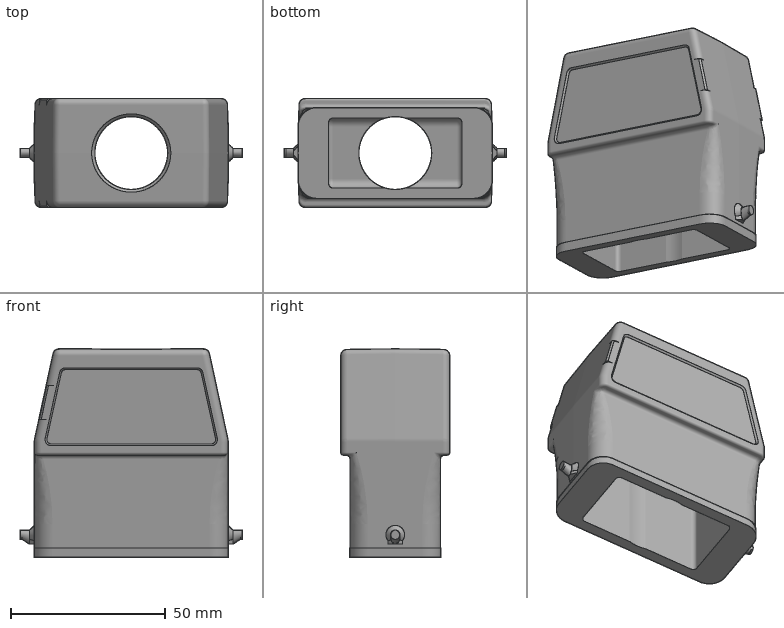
import cadquery as cq
import math

height = 67.5
half_length = 31.4
head_half_width = 17.65
lower_half_width = 14.65
draft = 0.7

ledge_z = 33.0
shoulder_z = 37.9
top_half_length = 25.0
head_round = 2.15
shoulder_round = 4.1
ledge_edge_round = 0.85
ledge_root_round = 1.3

corner_radius = 5.9
corner_radius_at_ledge = 1.95
corner_blend_z = 10.7
skirt_height = 3.1
skirt_overhang = 0.1

square_z_low = 44.5
square_z_high = 55.65
square_chamfer = 0.6

panel_z_low = 36.1
panel_z_high = 61.3
panel_half_low = 28.35
panel_half_high = 22.8
panel_depth = 0.6
panel_round = 2.0
panel_wall_angle = 45.0

entry_diameter = 23.5
entry_chamfer = 1.1
cavity_half_length = 21.55
cavity_half_width = 11.35
cavity_top_z = 63.2
cavity_ceiling_round = 2.9
cavity_corner_round = 1.45

pin_tip_x = 35.9
pin_z = 7.3
pin_radius = 1.5
pin_tip_length = 0.6
collar_tip_x = 32.95
collar_radius = 3.0
rib_bottom_z = 4.3
rib_root_half_width = 2.4
rib_tip_half_width = 0.6

embed = 1.45


def edges_within(body, x=(-half_length, half_length), y=(-head_half_width, head_half_width), z=(0, height)):
    """Edges lying completely inside the given ranges, with a small margin."""
    margin = 0.3
    low = (x[0] - margin, y[0] - margin, z[0] - margin)
    high = (x[1] + margin, y[1] + margin, z[1] + margin)
    return body.edges(cq.selectors.BoxSelector(low, high, boundingbox=True))


def sharp_half_head():
    """The -Y half of the tapered head, with only its shoulders rounded, cut level at the ledge."""
    outline = [
        (-half_length, ledge_z - embed),
        (half_length, ledge_z - embed),
        (half_length, shoulder_z),
        (top_half_length, height),
        (-top_half_length, height),
        (-half_length, shoulder_z),
    ]
    half = cq.Workplane("XZ").polyline(outline).close().extrude(head_half_width, taper=draft)
    above_ledge = cq.Workplane("XY", origin=(0, 0, ledge_z)).box(
        2 * half_length, 2 * head_half_width, height, centered=(True, True, False)
    )
    half = half.intersect(above_ledge)
    return edges_within(half, z=(shoulder_z, shoulder_z)).fillet(shoulder_round)


def rounded_half_head():
    half = sharp_half_head()
    wide_side_rim = half.faces("<Y").edges("not(<Z)")
    top_rim = half.faces(">Z").edges("not(>Y)")
    half = wide_side_rim.add(top_rim).fillet(head_round)
    return half.faces("<Z").edges("<Y").fillet(ledge_edge_round)


def corner_square():
    """Stretch of the slanted -X corner that stays square, with a small chamfer."""
    half = sharp_half_head()
    half = half.faces("<Y").edges("not(<Z)").chamfer(square_chamfer)
    stretch = cq.Workplane("XY", origin=(-half_length, -head_half_width, square_z_low)).box(
        half_length - top_half_length, head_round, square_z_high - square_z_low, centered=False
    )
    return half.intersect(stretch)


def panel_recess():
    """Recess of the -Y side, with sloped walls."""
    outline = [
        (-panel_half_low, panel_z_low),
        (panel_half_low, panel_z_low),
        (panel_half_high, panel_z_high),
        (-panel_half_high, panel_z_high),
        (-panel_half_low, panel_z_low),
    ]
    shape = cq.Sketch().polygon(outline).vertices().fillet(panel_round)
    side = cq.Workplane("XZ", origin=(0, -head_half_width, 0))
    return side.placeSketch(shape).extrude(-panel_depth, taper=panel_wall_angle)


def head():
    half = rounded_half_head().union(corner_square()).cut(panel_recess())
    return half.union(half.mirror("XZ"))


def lower_section(z, radius):
    """Rounded outline at height z whose end faces peak at the parting plane."""
    corner_x = half_length - lower_half_width * math.tan(math.radians(draft))
    points = [
        (half_length, 0),
        (corner_x, lower_half_width),
        (-corner_x, lower_half_width),
        (-half_length, 0),
        (-corner_x, -lower_half_width),
        (corner_x, -lower_half_width),
    ]
    wire = cq.Wire.makePolygon([cq.Vector(x, y, z) for x, y in points], close=True)
    corners = [vertex for vertex in wire.Vertices() if abs(vertex.Y) > lower_half_width / 2]
    return wire.fillet2D(radius, corners)


def lower_body():
    skirt = cq.Workplane("XY").rect(
        2 * (half_length + skirt_overhang), 2 * (lower_half_width + skirt_overhang)
    ).extrude(skirt_height)
    skirt = skirt.edges("|Z").fillet(corner_radius)
    straight = cq.Solid.makeLoft([lower_section(z, corner_radius) for z in (skirt_height, corner_blend_z)])
    sections = []
    for fraction in (0, 0.5, 1):
        z = corner_blend_z + fraction * (ledge_z + embed - corner_blend_z)
        radius = corner_radius - (corner_radius - corner_radius_at_ledge) * fraction**2
        sections.append(lower_section(z, radius))
    tightening = cq.Solid.makeLoft(sections)
    return skirt.union(cq.Workplane(straight)).union(cq.Workplane(tightening))


def outer_body():
    body = head().union(lower_body())
    root_level = (ledge_z, ledge_z)
    near_root = edges_within(body, y=(-lower_half_width, -lower_half_width), z=root_level)
    far_root = edges_within(body, y=(lower_half_width, lower_half_width), z=root_level)
    return near_root.add(far_root).fillet(ledge_root_round)


def locking_pin():
    """Pin at the +X end on a conical collar; its underside slopes up from a rib to the round tip."""
    root_x = half_length - embed

    pin_top_z = pin_z + pin_radius
    pin_root_half_height = (pin_top_z - rib_bottom_z) / 2
    slope_end_x = pin_tip_x - pin_tip_length
    pin = (
        cq.Workplane("YZ", origin=(collar_tip_x, 0, pin_top_z - pin_root_half_height))
        .ellipse(pin_radius, pin_root_half_height)
        .workplane(offset=slope_end_x - collar_tip_x, origin=(0, 0, pin_z))
        .circle(pin_radius)
        .loft()
    )
    tip = cq.Workplane("YZ", origin=(slope_end_x, 0, pin_z)).circle(pin_radius).extrude(pin_tip_length)

    collar_profile = [
        (root_x, 0),
        (root_x, collar_radius),
        (half_length, collar_radius),
        (collar_tip_x, pin_radius),
        (collar_tip_x, 0),
    ]
    collar = cq.Workplane("XZ", origin=(0, 0, pin_z)).polyline(collar_profile).close()
    collar = collar.revolve(360, (0, 0, 0), (1, 0, 0))

    rib_plan = [
        (root_x, -rib_root_half_width),
        (half_length, -rib_root_half_width),
        (collar_tip_x, -rib_tip_half_width),
        (collar_tip_x, rib_tip_half_width),
        (half_length, rib_root_half_width),
        (root_x, rib_root_half_width),
    ]
    rib = cq.Workplane("XY", origin=(0, 0, rib_bottom_z)).polyline(rib_plan).close()
    rib = rib.extrude(pin_z - rib_bottom_z)
    return collar.union(rib).union(pin).union(tip)


def cable_entry():
    """Through bore with a chamfered mouth."""
    radius = entry_diameter / 2
    bore = cq.Workplane("XY").circle(radius).extrude(height)
    mouth = cq.Workplane("XY", origin=(0, 0, height - entry_chamfer)).circle(radius)
    mouth = mouth.workplane(offset=entry_chamfer).circle(radius + entry_chamfer).loft()
    return bore.union(mouth)


def cavity():
    room = cq.Workplane("XY").rect(2 * cavity_half_length, 2 * cavity_half_width).extrude(cavity_top_z)
    room = room.edges("|X and >Z").fillet(cavity_ceiling_round)
    return room.faces("<X or >X").edges("not(<Z)").fillet(cavity_corner_round)


pin = locking_pin()
result = outer_body().union(pin).union(pin.mirror("YZ")).cut(cavity()).cut(cable_entry())